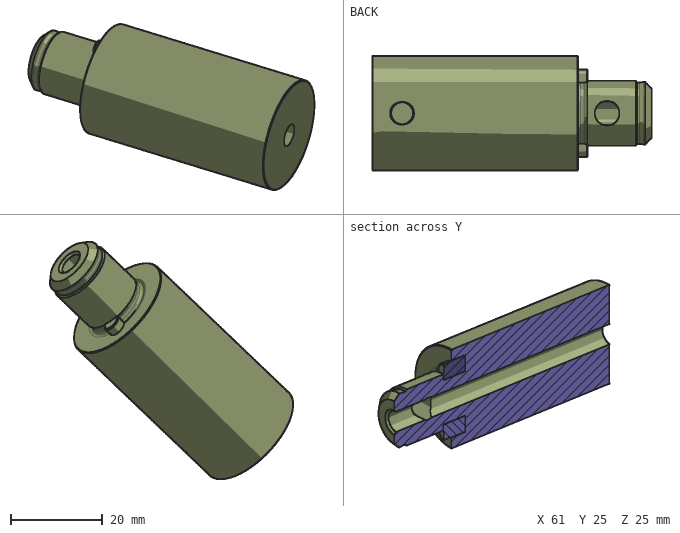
import cadquery as cq
import math

total_length = 61.0
nose_length = 16.1
body_radius = 12.5
body_chamfer = 0.2
nose_radius = 7.15
bore_radius = 2.5
bore_chamfer = 0.55

tip_chamfer = 1.45
land_radius = 6.85
land_end = 1.8
ring_groove_radius = 6.7
ring_groove_start = 2.75
ring_groove_end = 3.25
lead_in_end = 3.55

undercut_length = 2.0
undercut_slope_length = 0.7
undercut_radius = 6.85
undercut_fillet = 0.6
undercut_face_depth = 0.1
undercut_outer_radius = 8.05

corner_blend = 0.4

nose_hole_radius = 2.7
nose_hole_x = 9.75

plug_radius = 2.4
plug_depth = 5.0
plug_x = 54.5
plug_countersink = 0.25

dowel_radius = 1.95
dowel_chamfer = 0.25
dowel_offset = 7.6
dowel_projection = 2.15
dowel_embedded_length = 4.0


def turned_body():
    """Body and nose as one profile revolved about the X axis."""
    undercut_start = nose_length - undercut_length
    recess_x = nose_length + undercut_face_depth
    arc_center_x = recess_x - undercut_fillet
    arc_center_r = undercut_radius + undercut_fillet
    arc_reach = undercut_fillet * math.sqrt(0.5)
    profile = (
        cq.Workplane("XY")
        .moveTo(0, bore_radius + bore_chamfer)
        .lineTo(0, land_radius - tip_chamfer)
        .lineTo(tip_chamfer, land_radius)
        .lineTo(land_end, land_radius)
        .lineTo(ring_groove_start, ring_groove_radius)
        .lineTo(ring_groove_end, ring_groove_radius)
        .lineTo(lead_in_end, nose_radius)
        .lineTo(undercut_start, nose_radius)
        .lineTo(undercut_start + undercut_slope_length, undercut_radius)
        .lineTo(arc_center_x, undercut_radius)
        .threePointArc(
            (arc_center_x + arc_reach, arc_center_r - arc_reach),
            (recess_x, arc_center_r),
        )
        .lineTo(nose_length, undercut_outer_radius)
        .lineTo(nose_length, body_radius - body_chamfer)
        .lineTo(nose_length + body_chamfer, body_radius)
        .lineTo(total_length - body_chamfer, body_radius)
        .lineTo(total_length, body_radius - body_chamfer)
        .lineTo(total_length, bore_radius)
        .lineTo(bore_chamfer, bore_radius)
        .close()
    )
    turned = profile.revolve(360, (0, 0, 0), (1, 0, 0))

    blended_x = [land_end, ring_groove_start, undercut_start + undercut_slope_length]
    blended_edges = turned.edges().filter(
        lambda edge: any(math.isclose(edge.Center().x, x, abs_tol=0.005) for x in blended_x)
    )
    return blended_edges.fillet(corner_blend)


def radial_cylinder(x, radius, inner_y, outer_y):
    """Cylinder along Y at the given X, between two distances from the axis."""
    start = cq.Vector(x, inner_y, 0)
    return cq.Workplane(cq.Solid.makeCylinder(radius, outer_y - inner_y, start, cq.Vector(0, 1, 0)))


def make_plug():
    """Flat plug whose outer face is level with the body's side."""
    return radial_cylinder(plug_x, plug_radius, body_radius - plug_depth, body_radius)


def plug_seat():
    """Blind hole for the plug, with a countersunk mouth."""
    hole = radial_cylinder(plug_x, plug_radius, body_radius - plug_depth, body_radius)
    mouth_depth = 2 * plug_countersink
    mouth = cq.Solid.makeCone(
        plug_radius,
        plug_radius + plug_countersink,
        mouth_depth,
        cq.Vector(plug_x, body_radius - mouth_depth, 0),
        cq.Vector(0, 1, 0),
    )
    return hole.union(cq.Workplane(mouth))


def make_dowel(side):
    """Round dowel along X, above (side 1) or below (side -1) the axis."""
    start = cq.Vector(nose_length - dowel_projection, 0, side * dowel_offset)
    length = dowel_projection + dowel_embedded_length
    dowel = cq.Workplane(cq.Solid.makeCylinder(dowel_radius, length, start, cq.Vector(1, 0, 0)))
    return dowel.faces("<X").edges().chamfer(dowel_chamfer)


def make_body(dowels):
    """Turned body with its nose hole, plug seat and dowel holes."""
    body = turned_body()
    body = body.cut(radial_cylinder(nose_hole_x, nose_hole_radius, 0, body_radius))
    body = body.cut(plug_seat())
    for dowel in dowels:
        body = body.cut(dowel)
    return body


plug = make_plug()
dowels = [make_dowel(side) for side in (1, -1)]
body = make_body(dowels)

result = cq.Compound.makeCompound([body.val(), plug.val(), *[dowel.val() for dowel in dowels]])